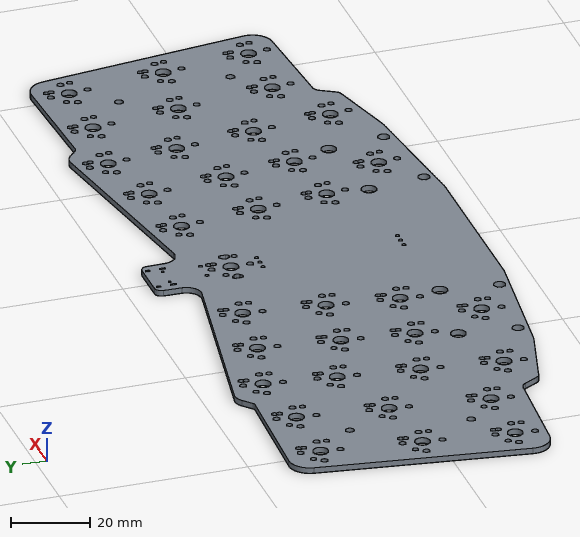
import cadquery as cq
import math

THICKNESS = 1.6
TILT = 7.0
KEY_PITCH = 19.0
GRID = 2.5

HALF_LENGTH = 43.27
CORNERS = [
    (6.7, HALF_LENGTH, 1.9),
    (7.0, 32.0, 4.0),
    (67.3, 42.5, 4.0),
    (71.5, 38.7, 1.2),
    (107.9, 40.4, 5.5),
    (116.7, -26.0, 5.3),
    (83.0, -28.3, 2.3),
    (79.8, -33.9, 1.9),
    (60.3, -39.0, 0.0),
    (23.7, -HALF_LENGTH, 0.0),
]

STEM_HOLE = 4.0
PIN_HOLE = 1.53
PEG_HOLE = 1.75
MOUNT_HOLE = 2.2
STABILIZER_SMALL_HOLE = 3.0
STABILIZER_LARGE_HOLE = 4.0
TERMINAL_HOLE = 1.0
CONNECTOR_PEG_HOLE = 0.65

PINS = [
    (-1.5 * GRID, GRID),
    (GRID, 2 * GRID),
    (2 * GRID, -GRID),
]
EXTRA_PIN = [(GRID, 1.5 * GRID)]
PEGS = [(-2 * GRID, 0), (2 * GRID, 0), (0, -2 * GRID), (0, 2 * GRID)]

HOME_KEY = (46.0, 7.5)
COLUMNS = {
    -1: (1.125, 0, -1),
    0: (1.125, 0, -1),
    1: (1.25, 0.25, -0.875, -2),
    2: (1, -0.25, -1.625),
    3: (0.875, -0.5, -1.75),
}
THUMB_KEY = (-0.5, -2)

STABILIZER_HALF_SPAN = 11.8
STABILIZER_LARGE_OFFSET = 8.4
STABILIZER_SMALL_OFFSET = -7.0

MOUNTS = [(92.3, 20.5), (96.3, -10.5)]

CENTRE_KEY = (0, 21.3)
ENCODER_SLOT_X = 5.5
ENCODER_SLOT_SIZE = (1.5, 2.8)

ENCODER_SWITCH_Y = 7.2
ENCODER_TERMINAL_Y = -7.7

HEADER_Y = -23.7

SHIELD_SLOT_X = 4.5
SHIELD_SLOT_WIDTH = 0.6
SHIELD_SLOTS = [(38.0, 1.6), (42.0, 1.2)]
CONNECTOR_PEG = (2.8, 38.5)


def turned(point, angle, origin=(0, 0)):
    """Turn a point by an angle in degrees about zero, then shift it to the origin given."""
    c = math.cos(math.radians(angle))
    s = math.sin(math.radians(angle))
    x, y = point
    return (origin[0] + x * c - y * s, origin[1] + x * s + y * c)


def mirrored(points):
    """The points together with their mirror images across the centre line."""
    return points + [(-x, y) for x, y in points]


def three_in_row(y):
    """Three grid points centred on the centre line."""
    return [(i * GRID, y) for i in (-1, 0, 1)]


def board():
    right = [(x, y) for x, y, _ in CORNERS]
    left = [(-x, y) for x, y in reversed(right)]
    body = cq.Workplane("XY").polyline(right + left).close().extrude(THICKNESS)
    for x, y, radius in CORNERS:
        if radius > 0:
            for side in (1, -1):
                corner = cq.selectors.NearestToPointSelector((side * x, y, THICKNESS / 2))
                body = body.edges("|Z").edges(corner).fillet(radius)
    return body


def drilled(body, points, diameter):
    cutters = cq.Workplane("XY").pushPoints(points).circle(diameter / 2).extrude(THICKNESS)
    return body.cut(cutters, clean=False)


def slotted(body, points, width, length):
    """Cut round-ended slots that run along Y."""
    cutters = cq.Workplane("XY").pushPoints(points).slot2D(length, width, 90).extrude(THICKNESS)
    return body.cut(cutters, clean=False)


def field_key(column, row):
    """Centre of a key of the right half, whose field is tilted anticlockwise."""
    return turned((column * KEY_PITCH, row * KEY_PITCH), TILT, HOME_KEY)


def all_keys():
    """Centre and angle of every key: both fields and the centre key."""
    places = [(column, row) for column, rows in COLUMNS.items() for row in rows]
    right = [field_key(column, row) for column, row in places + [THUMB_KEY]]
    keys = [(CENTRE_KEY, 0)]
    for x, y in right:
        keys.append(((x, y), TILT))
        keys.append(((-x, y), -TILT))
    return keys


def with_key_holes(body):
    keys = all_keys()
    body = drilled(body, [centre for centre, _ in keys], STEM_HOLE)
    for pattern, diameter in ((PINS, PIN_HOLE), (EXTRA_PIN, PIN_HOLE), (PEGS, PEG_HOLE)):
        points = [turned(hole, angle, centre) for centre, angle in keys for hole in pattern]
        body = drilled(body, points, diameter)
    return body


def with_stabilizer_holes(body):
    key = field_key(*THUMB_KEY)
    for offset, diameter in (
        (STABILIZER_LARGE_OFFSET, STABILIZER_LARGE_HOLE),
        (STABILIZER_SMALL_OFFSET, STABILIZER_SMALL_HOLE),
    ):
        ends = [(-STABILIZER_HALF_SPAN, offset), (STABILIZER_HALF_SPAN, offset)]
        body = drilled(body, mirrored([turned(end, TILT, key) for end in ends]), diameter)
    return body


def with_encoder_holes(body):
    y = CENTRE_KEY[1]
    body = slotted(body, mirrored([(ENCODER_SLOT_X, y)]), *ENCODER_SLOT_SIZE)
    switch = mirrored([(GRID, y + ENCODER_SWITCH_Y)])
    return drilled(body, switch + three_in_row(y + ENCODER_TERMINAL_Y), TERMINAL_HOLE)


def with_connector_holes(body):
    for y, length in SHIELD_SLOTS:
        body = slotted(body, mirrored([(SHIELD_SLOT_X, y)]), SHIELD_SLOT_WIDTH, length)
    return drilled(body, mirrored([CONNECTOR_PEG]), CONNECTOR_PEG_HOLE)


result = board()
result = with_key_holes(result)
result = with_stabilizer_holes(result)
result = with_encoder_holes(result)
result = with_connector_holes(result)
result = drilled(result, mirrored(MOUNTS), MOUNT_HOLE)
result = drilled(result, three_in_row(HEADER_Y), TERMINAL_HOLE)